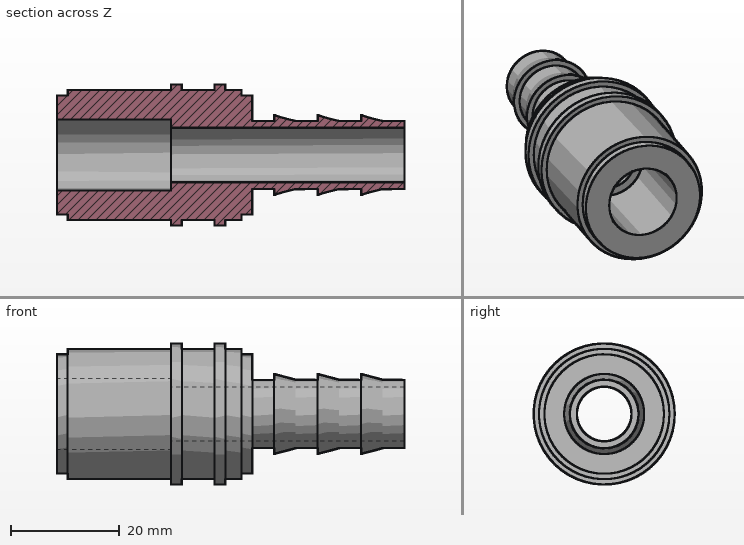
import cadquery as cq
import math


body_radius = 12.0
end_radius = 11.0
end_step_length = 2.0
body_length = 36.0

collar_radius = 13.0
collar_width = 2.0
collar_starts = (21.0, 29.0)

tail_radius = 6.3
total_length = 64.0
barb_taper = 15.0
barb_length = 4.0
barb_radius = tail_radius + barb_length * math.tan(math.radians(barb_taper))
barb_gap = 4.0
barb_pitch = barb_length + barb_gap
barb_count = 3
first_barb_start = body_length + barb_gap

bore_radius = 5.0
socket_bore_radius = 6.5
socket_bore_depth = collar_starts[0]


def cylinder(start, length, radius):
    """Solid cylinder on the X axis, beginning at x = start."""
    return cq.Workplane("YZ").workplane(offset=start).circle(radius).extrude(length)


def barb(start):
    """Cone that is widest at x = start and tapers to the tail toward +X."""
    profile = [
        (start, 0),
        (start, barb_radius),
        (start + barb_length, tail_radius),
        (start + barb_length, 0),
    ]
    return cq.Workplane("XZ").polyline(profile).close().revolve(360, (0, 0, 0), (1, 0, 0))


def make_body():
    core = cylinder(0, body_length, end_radius)
    barrel = cylinder(end_step_length, body_length - 2 * end_step_length, body_radius)
    body = core.union(barrel)
    for start in collar_starts:
        body = body.union(cylinder(start, collar_width, collar_radius))
    return body


def make_tail():
    tail = cylinder(body_length, total_length - body_length, tail_radius)
    for index in range(barb_count):
        tail = tail.union(barb(first_barb_start + index * barb_pitch))
    return tail


outer = make_body().union(make_tail())
through_bore = cylinder(0, total_length, bore_radius)
socket_bore = cylinder(0, socket_bore_depth, socket_bore_radius)
result = outer.cut(through_bore).cut(socket_bore)